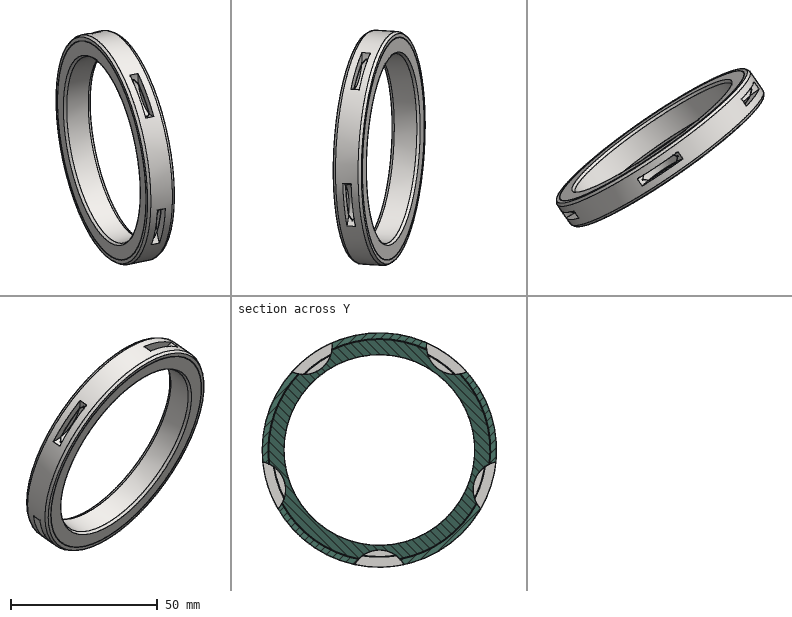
import cadquery as cq
import math

outer_radius = 40.0
bore_radius = 32.5
width = 10.0
half_width = width / 2

chamfer_axial = 1.0
chamfer_radial = chamfer_axial * math.tan(math.radians(30))

face_joint_radius = 38.0
ridge_radius = 37.8
root_radius = 36.3
ridge_flat = 0.3
joint_gap = 0.2
ridge_half_flat = ridge_flat / 2
ridge_half_base = ridge_half_flat + ridge_radius - root_radius
flare_inner_end = half_width - (face_joint_radius - root_radius)

pocket_count = 5
pocket_pitch = 360 / pocket_count
first_pocket_angle = 270.0
pocket_width = 3.0
cutter_radius = 9.6
cutter_centre_radius = 43.8


def joint_points(offset):
    """Joint profile as (radius, y) points from front to back, moved outward by offset."""
    face = face_joint_radius + offset
    ridge = ridge_radius + offset
    root = root_radius + offset
    return [
        (face, -half_width),
        (root, -flare_inner_end),
        (root, -ridge_half_base),
        (ridge, -ridge_half_flat),
        (ridge, ridge_half_flat),
        (root, ridge_half_base),
        (root, flare_inner_end),
        (face, half_width),
    ]


def revolve_ring(profile):
    """Turn a closed (radius, y) profile about the Y axis."""
    return cq.Workplane("XY").polyline(profile).close().revolve(360, (0, 0, 0), (0, 1, 0))


def cut_pockets(ring):
    """Cut the evenly spaced disc pockets into a ring."""
    for index in range(pocket_count):
        angle = math.radians(first_pocket_angle + index * pocket_pitch)
        centre_x = cutter_centre_radius * math.cos(angle)
        centre_z = cutter_centre_radius * math.sin(angle)
        cutter = cq.Workplane("XY").add(
            cq.Solid.makeCylinder(
                cutter_radius,
                pocket_width,
                cq.Vector(centre_x, -pocket_width / 2, centre_z),
                cq.Vector(0, 1, 0),
            )
        )
        ring = ring.cut(cutter)
    return ring


def make_outer_ring():
    """Outer ring: chamfered rim outside, grooved joint inside."""
    rim_points = [
        (outer_radius - chamfer_radial, half_width),
        (outer_radius, half_width - chamfer_axial),
        (outer_radius, -half_width + chamfer_axial),
        (outer_radius - chamfer_radial, -half_width),
    ]
    return cut_pockets(revolve_ring(joint_points(joint_gap) + rim_points))


def make_inner_ring():
    """Inner ring: ridged joint outside, chamfered bore inside."""
    bore_points = [
        (bore_radius + chamfer_radial, half_width),
        (bore_radius, half_width - chamfer_axial),
        (bore_radius, -half_width + chamfer_axial),
        (bore_radius + chamfer_radial, -half_width),
    ]
    return cut_pockets(revolve_ring(joint_points(0) + bore_points))


outer_ring = make_outer_ring()
inner_ring = make_inner_ring()

result = cq.Compound.makeCompound([*outer_ring.solids().vals(), *inner_ring.solids().vals()])